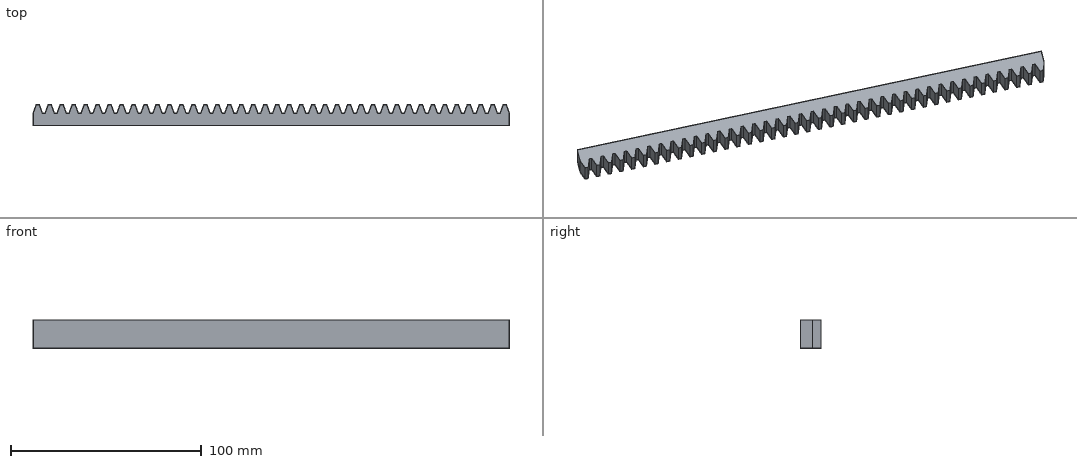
import cadquery as cq
import math

length = 250.0
height = 11.0
face_width = 15.0
tooth_count = 40
module = 2.0
pressure_angle = math.radians(20)

addendum = module
root_clearance = module / 4
dedendum = addendum + root_clearance
pitch_line_y = height - addendum
root_y = pitch_line_y - dedendum

root_spread = dedendum * math.tan(pressure_angle)
tip_shrink = addendum * math.tan(pressure_angle)
pitch = (length - 2 * root_spread) / (tooth_count - 0.5)
half_tip = pitch / 4 - tip_shrink
half_root = pitch / 4 + root_spread


def tooth_points(center_x):
    """Corners of one straight-flanked tooth, from left root to right root."""
    return [
        (center_x - half_root, root_y),
        (center_x - half_tip, height),
        (center_x + half_tip, height),
        (center_x + half_root, root_y),
    ]


def rack_outline():
    """Closed outline: flat back on Y = 0, then the row of teeth."""
    first_center = -length / 2 + half_root
    points = [(length / 2, 0), (-length / 2, 0)]
    for index in range(tooth_count):
        points += tooth_points(first_center + index * pitch)
    return points


result = cq.Workplane("XY").polyline(rack_outline()).close().extrude(face_width)